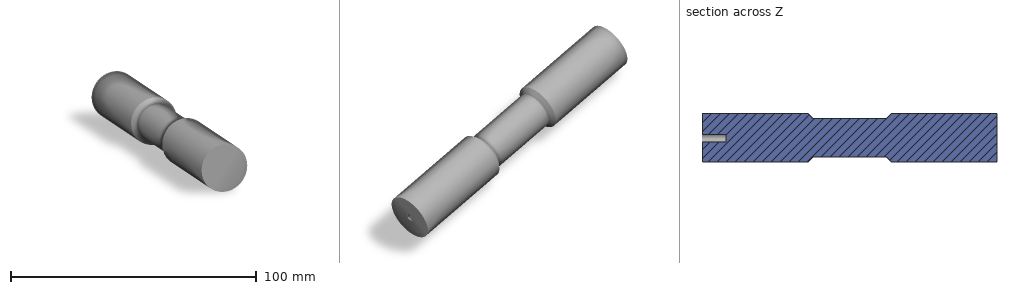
import cadquery as cq

length = 120.0
grip_radius = length / 12

waist_radius = 0.8 * grip_radius
waist_length = 0.25 * length
taper_length = grip_radius - waist_radius

bore_diameter = 3.2
flat_offset = 1.16
bore_depth = 9.6


def turned_bar():
    """Revolve the half profile of the bar around the X axis."""
    half_length = length / 2
    waist_end = waist_length / 2
    grip_start = waist_end + taper_length
    profile = (
        cq.Workplane("XY")
        .moveTo(-half_length, 0)
        .lineTo(-half_length, grip_radius)
        .lineTo(-grip_start, grip_radius)
        .lineTo(-waist_end, waist_radius)
        .lineTo(waist_end, waist_radius)
        .lineTo(grip_start, grip_radius)
        .lineTo(half_length, grip_radius)
        .lineTo(half_length, 0)
        .close()
    )
    return profile.revolve(360, (0, 0, 0), (1, 0, 0))


def d_bore():
    """Solid to remove for the D-shaped bore: a round plug trimmed by its flat."""
    plug = cq.Workplane("YZ", origin=(-length / 2, 0, 0)).circle(bore_diameter / 2).extrude(bore_depth)
    beyond_flat = (
        cq.Workplane("XY", origin=(-length / 2, flat_offset, 0))
        .box(bore_depth, bore_diameter, bore_diameter, centered=(False, False, True))
    )
    return plug.cut(beyond_flat)


result = turned_bar().cut(d_bore())